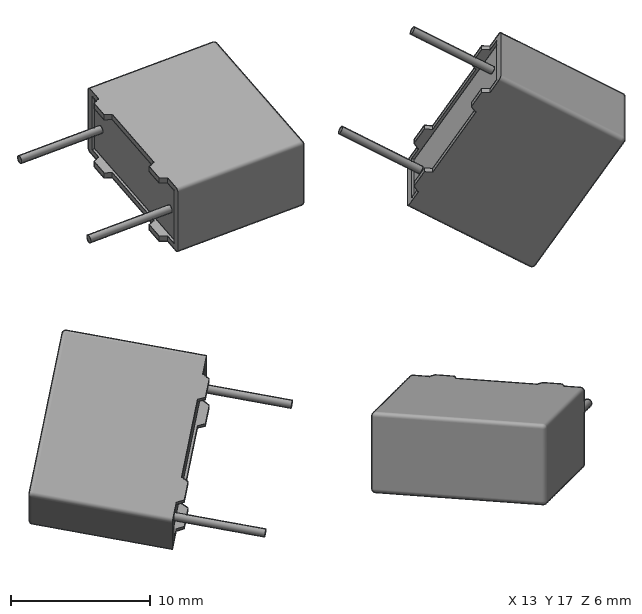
import cadquery as cq

case_width = 13.0
case_height = 6.0
overall_length = 17.0
lead_length = 6.5
case_length = overall_length - lead_length
edge_radius = 0.3

side_wall = 0.6
tab_wall = 0.5
recess_depth = 0.2

lead_spacing = 10.0
lead_diameter = 0.6

tab_height = 0.53
tab_base_inner = 3.01
tab_base_outer = 5.0
tab_tip_inner = 3.26
tab_tip_outer = 4.71


def make_case():
    """Block with rounded long edges and back edges, recessed at the open end."""
    block = cq.Workplane("XY").box(
        case_width, case_length, case_height, centered=(True, False, True)
    )
    block = block.edges("|Y or >Y").fillet(edge_radius)
    recess = cq.Workplane("XY").box(
        case_width - 2 * side_wall,
        recess_depth,
        case_height - 2 * tab_wall,
        centered=(True, False, True),
    )
    return block.cut(recess)


def make_tab(x_side, z_bottom):
    """Trapezoidal standoff as thick as the upper or lower wall."""
    outline = [
        (x_side * tab_base_inner, 0),
        (x_side * tab_tip_inner, -tab_height),
        (x_side * tab_tip_outer, -tab_height),
        (x_side * tab_base_outer, 0),
    ]
    tab = cq.Workplane("XY").workplane(offset=z_bottom)
    return tab.polyline(outline).close().extrude(tab_wall)


def make_lead(x_side):
    """Round lead rising from the recess floor."""
    floor = cq.Workplane("XZ", origin=(x_side * lead_spacing / 2, recess_depth, 0))
    return floor.circle(lead_diameter / 2).extrude(lead_length + recess_depth)


result = make_case()
for x_side in (-1, 1):
    result = result.union(make_lead(x_side))
    for z_bottom in (-case_height / 2, case_height / 2 - tab_wall):
        result = result.union(make_tab(x_side, z_bottom))